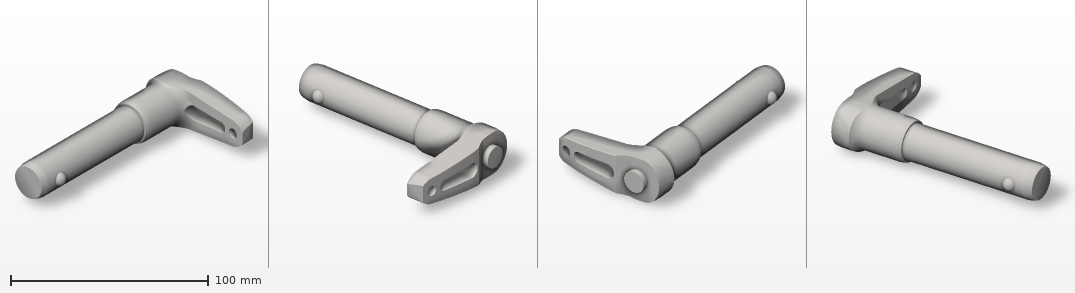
import cadquery as cq
import math


pin_length = 120.1
pin_radius = 10.0
pin_end_radius = 9.0
pin_nose_length = 4.2
collar_radius = 11.8
collar_lip_radius = 11.2
collar_top = -19.7
collar_bottom = -43.2
collar_taper_length = 3.6
flare_radius = 6.0

button_radius = 6.0

ball_radius = 3.7
ball_span = 25.1
ball_y = -106.8

head_radius = 12.4
head_offset = -2.6
head_flat_end = 1.3
arm_end_x = 45.9
arm_end_half_width = 7.7
tip_x = 52.1
tip_half_width = 3.4
tip_mid_x = 50.1
tip_mid_half_width = 5.6

head_top = -3.5
head_back_top = -3.0
head_back_x = -13.6
head_back_base_x = -15.0
head_back_base_y = -14.5
arm_rise_start_x = 5.4
arm_rise_mid = (9.0, -2.4)
arm_crest_start_x = 11.9
arm_crest_end_x = 16.2
arm_crest_y = -1.0
arm_back_mid = (33.6, -2.8)
arm_back_edge_radius = 0.5
tip_top = (50.8, -6.1)
tip_bottom_y = -15.6
arm_base_start_x = 14.3
arm_base_y = collar_top + flare_radius

slot_start_x = 17.3
slot_start_radius = 4.3
slot_end_x = 36.8
slot_end_radius = 3.1
hole_x = 45.4
hole_radius = 2.9


def along_pin(outline):
    """Extrude an XZ outline from the button top to the pin end."""
    return outline.extrude(pin_length)


def handle_plan():
    """Rounded head with a tapering arm and a blunt rounded tip."""
    outline = (
        cq.Workplane("XZ")
        .moveTo(head_offset, head_radius)
        .lineTo(head_flat_end, head_radius)
        .lineTo(arm_end_x, arm_end_half_width)
        .threePointArc((tip_mid_x, tip_mid_half_width), (tip_x, tip_half_width))
        .lineTo(tip_x, -tip_half_width)
        .threePointArc((tip_mid_x, -tip_mid_half_width), (arm_end_x, -arm_end_half_width))
        .lineTo(head_flat_end, -head_radius)
        .lineTo(head_offset, -head_radius)
        .threePointArc((head_offset - head_radius, 0), (head_offset, head_radius))
        .close()
    )
    return along_pin(outline)


def handle_side():
    """Side profile of the handle, as thick as the widest part of the head."""
    return (
        cq.Workplane("XY")
        .moveTo(head_back_base_x, arm_base_y)
        .lineTo(head_back_base_x, head_back_top)
        .lineTo(head_back_x, head_back_top)
        .lineTo(-button_radius, head_top)
        .lineTo(arm_rise_start_x, head_top)
        .threePointArc(arm_rise_mid, (arm_crest_start_x, arm_crest_y))
        .lineTo(arm_crest_end_x, arm_crest_y)
        .threePointArc(arm_back_mid, tip_top)
        .lineTo(tip_x, tip_bottom_y)
        .lineTo(arm_base_start_x, arm_base_y)
        .close()
        .extrude(head_radius, both=True)
    )


def flare():
    """Concave revolved blend from the collar out to the underside of the handle."""
    outer_radius = collar_radius + flare_radius
    arc_offset = flare_radius * (1 - math.sqrt(0.5))
    return (
        cq.Workplane("XY")
        .moveTo(0, collar_top)
        .lineTo(collar_radius, collar_top)
        .threePointArc(
            (collar_radius + arc_offset, arm_base_y - arc_offset),
            (outer_radius, arm_base_y),
        )
        .lineTo(0, arm_base_y)
        .close()
        .revolve(360, (0, 0), (0, 1))
    )


def head_cone():
    """Conical limit of the rounded back of the head, joined to a block over the arm."""
    slope = (head_back_base_x - head_back_x) / (head_back_base_y - head_back_top)
    base_radius = -(head_back_x + slope * (collar_top - head_back_top))
    top_radius = -(head_back_x - slope * head_back_top)
    cone = (
        cq.Workplane("XY")
        .polyline([(0, 0), (top_radius, 0), (base_radius, collar_top), (0, collar_top)])
        .close()
        .revolve(360, (0, 0), (0, 1))
    )
    arm_side = cq.Workplane("XY").box(
        tip_x, -collar_top, 2 * head_radius, centered=(False, False, True)
    ).translate((0, collar_top, 0))
    return cone.union(arm_side)


def handle_openings():
    """Tapered slot with round ends, plus the lanyard hole."""
    lean = (slot_start_radius - slot_end_radius) / (slot_end_x - slot_start_x)
    rise = math.sqrt(1 - lean**2)
    start = (slot_start_x + slot_start_radius * lean, slot_start_radius * rise)
    end = (slot_end_x + slot_end_radius * lean, slot_end_radius * rise)
    slot = (
        cq.Workplane("XZ")
        .moveTo(*start)
        .lineTo(*end)
        .threePointArc((slot_end_x + slot_end_radius, 0), (end[0], -end[1]))
        .lineTo(start[0], -start[1])
        .threePointArc((slot_start_x - slot_start_radius, 0), start)
        .close()
    )
    hole = cq.Workplane("XZ").center(hole_x, 0).circle(hole_radius)
    return along_pin(slot).union(along_pin(hole))


def handle():
    body = handle_side().union(flare())
    shaped = body.intersect(handle_plan()).intersect(head_cone())
    back_edges = cq.selectors.BoxSelector(
        (arm_crest_end_x, tip_top[1], -head_radius),
        (arm_end_x, arm_crest_y, head_radius),
    )
    rounded = shaped.edges(back_edges).fillet(arm_back_edge_radius)
    return rounded.cut(handle_openings())


def pin():
    """Push button, collar and pin, revolved as one turned shape."""
    collar_taper_start = collar_bottom + collar_taper_length
    collar_taper_mid = (
        collar_radius - (collar_radius - collar_lip_radius) / 4,
        collar_bottom + collar_taper_length / 2,
    )
    nose_start = -pin_length + pin_nose_length
    nose_mid = (
        pin_radius - (pin_radius - pin_end_radius) / 3,
        nose_start - pin_nose_length / 2,
    )
    return (
        cq.Workplane("XY")
        .lineTo(button_radius, 0)
        .lineTo(button_radius, collar_top)
        .lineTo(collar_radius, collar_top)
        .lineTo(collar_radius, collar_taper_start)
        .lineTo(*collar_taper_mid)
        .lineTo(collar_lip_radius, collar_bottom)
        .lineTo(pin_radius, collar_bottom)
        .lineTo(pin_radius, nose_start)
        .threePointArc(nose_mid, (pin_end_radius, -pin_length))
        .lineTo(0, -pin_length)
        .close()
        .revolve(360, (0, 0), (0, 1))
    )


def locking_ball(side):
    ball_x = side * (ball_span / 2 - ball_radius)
    return cq.Workplane("XY").sphere(ball_radius).translate((ball_x, ball_y, 0))


result = handle().union(pin())
for side in (-1, 1):
    result = result.union(locking_ball(side))